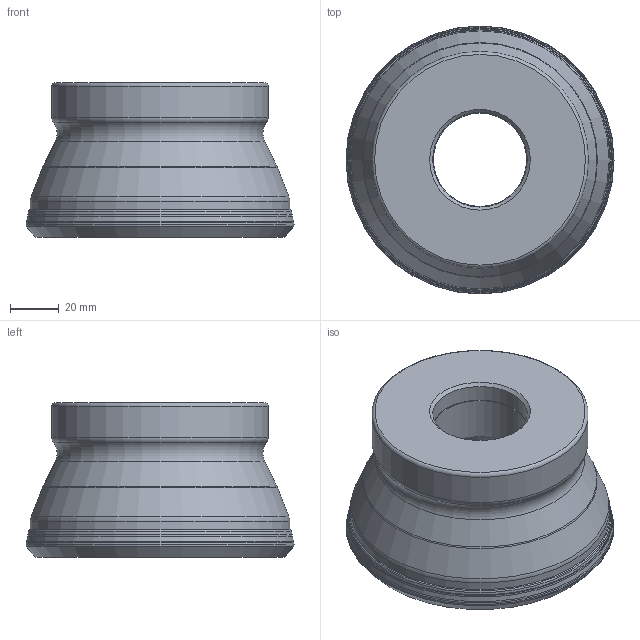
import cadquery as cq
import math

total_height = 63.5

collar_radius = 44.45
collar_round_width = 1.25
collar_round_height = 1.65
collar_lower_z = 49.1
shoulder_round = 3.2
neck_radius = 42.2
neck_round = 7.3
upper_flare_angle = 26.0
flare_break_z = 28.95
flare_break_round = 8.0
skirt_radius = 53.2
skirt_top_z = 15.85
skirt_round = 5.0

entry_radius = 19.4
entry_depth = 8.1
entry_chamfer = 1.25
bore_radius = 19.1
cavity_top_z = 37.3
cavity_angle = upper_flare_angle

foot_radius = 51.0
foot_chamfer_z = 4.65
rim_z = 5.3
rim_radius = 54.945
rim_upper_z = 5.95
rim_lower_angle = 6.0
rim_upper_angle = 8.0
land_angle = 12.0
land_top_z = 6.6
wall_angle = 10.5
bead_bottom_z = 8.6
bead_angle = 5.0
bead_edge_z = 9.3
bead_top_z = 9.6
lip_angle = 12.0
lip_z = 10.6
lip_round_width = 0.35
lip_top_z = 11.3
seat_height = 11.6


def sin(angle):
    return math.sin(math.radians(angle))


def cos(angle):
    return math.cos(math.radians(angle))


def tan(angle):
    return math.tan(math.radians(angle))


def on_arc(centre, radius, angle):
    """Point (r, z) on an arc, with the angle measured up from the outward direction."""
    return (centre[0] + radius * cos(angle), centre[1] + radius * sin(angle))


def revolve(profile):
    """Turn a closed (r, z) profile around the Z axis."""
    return profile.close().revolve(360, (0, 0, 0), (0, 1, 0))


def convex_corner(corner, radius, upper_angle, lower_angle):
    """Start, middle and end of a round where a wall steepens from upper_angle to lower_angle."""
    tangent_length = radius * tan((upper_angle - lower_angle) / 2)
    start = (corner[0] - tangent_length * sin(upper_angle), corner[1] + tangent_length * cos(upper_angle))
    centre = (start[0] - radius * cos(upper_angle), start[1] - radius * sin(upper_angle))
    middle_angle = (upper_angle + lower_angle) / 2
    return start, on_arc(centre, radius, middle_angle), on_arc(centre, radius, lower_angle)


cavity_radius = bore_radius + (cavity_top_z - seat_height) * tan(cavity_angle)


def make_housing():
    reach = neck_round + shoulder_round
    roll = math.degrees(math.acos(1 - (collar_radius - neck_radius) / reach))
    shoulder_centre = (collar_radius - shoulder_round, collar_lower_z)
    neck_centre = (neck_radius + neck_round, collar_lower_z - reach * sin(roll))
    neck_end = on_arc(neck_centre, neck_round, 180 + upper_flare_angle)

    break_radius = neck_end[0] + (neck_end[1] - flare_break_z) * tan(upper_flare_angle)
    lower_flare_angle = math.degrees(math.atan2(skirt_radius - break_radius, flare_break_z - skirt_top_z))
    break_start, break_middle, break_end = convex_corner(
        (break_radius, flare_break_z), flare_break_round, upper_flare_angle, lower_flare_angle)
    skirt_start, skirt_middle, skirt_end = convex_corner(
        (skirt_radius, skirt_top_z), skirt_round, lower_flare_angle, 0)

    entry_step_z = total_height - entry_depth
    profile = (
        cq.Workplane("XZ")
        .moveTo(collar_radius, collar_lower_z)
        .lineTo(collar_radius, total_height - collar_round_height)
        .tangentArcPoint((collar_radius - collar_round_width, total_height), relative=False)
        .lineTo(entry_radius + entry_chamfer, total_height)
        .lineTo(entry_radius, total_height - entry_chamfer)
        .lineTo(entry_radius, entry_step_z)
        .lineTo(bore_radius, entry_step_z)
        .lineTo(bore_radius, cavity_top_z)
        .lineTo(cavity_radius, seat_height)
        .lineTo(skirt_radius, seat_height)
        .lineTo(*skirt_end)
        .threePointArc(skirt_middle, skirt_start)
        .lineTo(*break_end)
        .threePointArc(break_middle, break_start)
        .lineTo(*neck_end)
        .threePointArc(on_arc(neck_centre, neck_round, 180), on_arc(neck_centre, neck_round, 180 - roll))
        .threePointArc(
            on_arc(shoulder_centre, shoulder_round, -roll / 2),
            (collar_radius, collar_lower_z))
    )
    return revolve(profile)


def make_base_ring():
    foot_chamfer_radius = rim_radius - (rim_z - foot_chamfer_z) * tan(rim_lower_angle)
    rim_upper_radius = rim_radius - (rim_upper_z - rim_z) * tan(rim_upper_angle)
    land_radius = rim_upper_radius - (land_top_z - rim_upper_z) * tan(land_angle)
    bead_bottom_radius = land_radius - (bead_bottom_z - land_top_z) * tan(wall_angle)
    bead_edge_radius = bead_bottom_radius - (bead_edge_z - bead_bottom_z) * tan(bead_angle)
    bead_top_radius = bead_bottom_radius - (bead_top_z - bead_bottom_z) * tan(wall_angle)
    lip_radius = bead_top_radius - (lip_z - bead_top_z) * tan(lip_angle)

    profile = (
        cq.Workplane("XZ")
        .moveTo(cavity_radius, 0)
        .lineTo(foot_radius, 0)
        .lineTo(foot_chamfer_radius, foot_chamfer_z)
        .lineTo(rim_radius, rim_z)
        .lineTo(rim_upper_radius, rim_upper_z)
        .lineTo(land_radius, land_top_z)
        .lineTo(bead_bottom_radius, bead_bottom_z)
        .lineTo(bead_edge_radius, bead_edge_z)
        .lineTo(bead_top_radius, bead_top_z)
        .lineTo(lip_radius, lip_z)
        .tangentArcPoint((lip_radius - lip_round_width, lip_top_z), relative=False)
        .lineTo(skirt_radius, seat_height)
        .lineTo(cavity_radius, seat_height)
    )
    return revolve(profile)


housing = make_housing()
base_ring = make_base_ring()

result = cq.Compound.makeCompound([housing.val(), base_ring.val()])